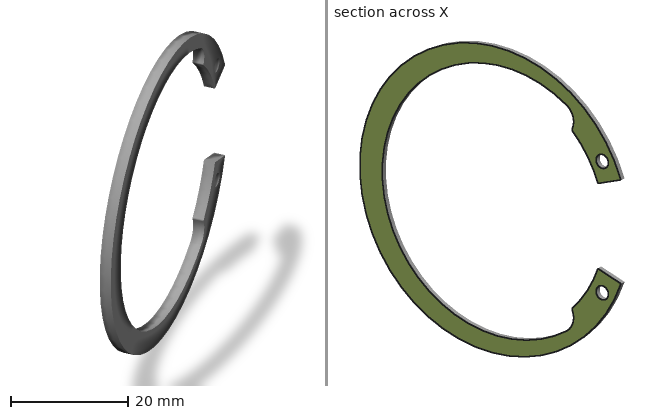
import cadquery as cq
import math

thickness = 2.0
outer_radius = 28.1

bore_radius = 24.7
bore_offset = 1.4

lug_inner_radius = 22.95
mouth_half_angle = 19.7

hole_diameter = 2.5
hole_circle_radius = 25.5
hole_angle = 28.1

notch_radius = 3.25
notch_angle = 56.6

corner_radius = 0.35
corner_angle = 45.0


def polar(radius, angle, center_y=0.0):
    """Point (Y, Z) at an angle in degrees from +Y about (center_y, 0)."""
    a = math.radians(angle)
    return (center_y + radius * math.cos(a), radius * math.sin(a))


def disc(radius, center=(0.0, 0.0)):
    return cq.Workplane("YZ").center(*center).circle(radius).extrude(thickness / 2, both=True)


def wedge(half_angle, center_y=0.0):
    """Triangle opening towards +Y that reaches beyond the ring."""
    reach = 2 * outer_radius / math.cos(math.radians(half_angle))
    corners = [
        (center_y, 0.0),
        polar(reach, -half_angle, center_y),
        polar(reach, half_angle, center_y),
    ]
    return cq.Workplane("YZ").polyline(corners).close().extrude(thickness / 2, both=True)


bore = disc(bore_radius, (bore_offset, 0.0)).cut(wedge(notch_angle, bore_offset))
ring = disc(outer_radius).cut(bore).cut(disc(lug_inner_radius))

for side in (1, -1):
    notch_center = polar(bore_radius - notch_radius, side * notch_angle, bore_offset)
    hole_center = polar(hole_circle_radius, side * hole_angle)
    ring = ring.cut(disc(notch_radius, notch_center))
    ring = ring.cut(disc(hole_diameter / 2, hole_center))

ring = ring.cut(wedge(mouth_half_angle))

for side in (1, -1):
    corner = (0.0, *polar(lug_inner_radius, side * corner_angle))
    ring = ring.edges("|X").edges(cq.NearestToPointSelector(corner)).fillet(corner_radius)

result = ring